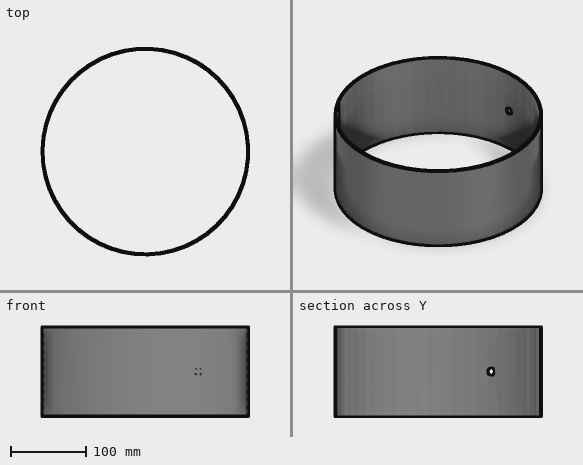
import cadquery as cq

outer_diameter = 275.0
wall = 2.5
height = 120.0
outer_radius = outer_diameter / 2
inner_radius = outer_radius - wall
half_height = height / 2

outer_bevel_radial = 0.65
outer_bevel_axial = 1.8
inner_bevel = 0.8

slit_start_angle = 179.0
slit_angle = 1.0
band_start_angle = slit_start_angle + slit_angle
band_sweep = 360.0 - slit_angle

hole_diameter = 10.0
hole_to_slit_angle = 120.0
hole_angle = slit_start_angle - hole_to_slit_angle


def make_band():
    """Revolve the bevelled wall section around Z, leaving the slit open."""
    rim_flat_outer = outer_radius - outer_bevel_radial
    rim_flat_inner = inner_radius + inner_bevel
    outer_wall_end = half_height - outer_bevel_axial
    inner_wall_end = half_height - inner_bevel
    section = (
        cq.Workplane("XZ")
        .moveTo(inner_radius, -inner_wall_end)
        .lineTo(rim_flat_inner, -half_height)
        .lineTo(rim_flat_outer, -half_height)
        .lineTo(outer_radius, -outer_wall_end)
        .lineTo(outer_radius, outer_wall_end)
        .lineTo(rim_flat_outer, half_height)
        .lineTo(rim_flat_inner, half_height)
        .lineTo(inner_radius, inner_wall_end)
        .close()
    )
    band = section.revolve(band_sweep, (0, 0, 0), (0, 1, 0))
    return band.rotate((0, 0, 0), (0, 0, 1), band_start_angle)


def make_hole_cutter():
    """Cylinder from the axis outwards, through one side of the wall only."""
    cutter = cq.Workplane("YZ").circle(hole_diameter / 2).extrude(outer_radius + wall)
    return cutter.rotate((0, 0, 0), (0, 0, 1), hole_angle)


result = make_band().cut(make_hole_cutter())